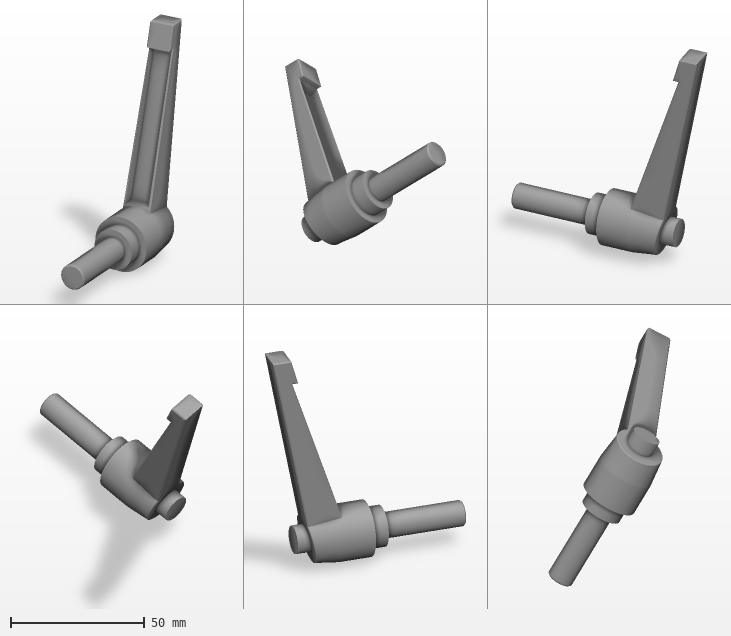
import cadquery as cq


HUB_RADIUS = 10.98
HUB_FRONT = -12.8
CONE_RADIUS = 9.5
CONE_LENGTH = 13.4
COLLAR_RADIUS = 8.0
COLLAR_FRONT = -18.9
STUD_RADIUS = 5.0
STUD_TIP = -50.8
STUD_CHAMFER = 0.5
BUTTON_RADIUS = 5.5
BUTTON_END = 16.3

OVERALL_HEIGHT = 89.6
TOP_Z = OVERALL_HEIGHT - HUB_RADIUS
TIP_Y = 26.1
BACK_SLOPE = 0.19
TOP_FRONT_Y = 18.6
TOP_BEVEL_LENGTH = 1.1
TOP_BEVEL_DROP = 0.4
LIP_Y = 15.95
LIP_Z = 68.7
RIM_TOP_Y = 18.3
RIM_FOOT_Y = -1.1
RIM_FOOT_Z = 9.6
ROOT_Z = 4.5
HALF_WIDTH_TOP = 4.9
HALF_WIDTH_FOOT = 5.9
HUB_END_FILLET = 0.45
ARM_EDGE_CHAMFER = 0.45

POCKET_HALF_WIDTH_TOP = 4.615
POCKET_HALF_WIDTH_FOOT = 5.0
POCKET_FOOT_Y = 4.7
POCKET_FOOT_Z = 11.0
POCKET_TOP_Y = 21.7
POCKET_TOP_Z = 66.95
POCKET_OVERSHOOT = 9.0

TRIM_SIZE = 179.2


def back_y(z):
    """Y of the leaning back plane shared by the arm and the hub."""
    return TIP_Y - BACK_SLOPE * (TOP_Z - z)


def cylinder(radius, y_start, y_end):
    return cq.Workplane("XZ", origin=(0, y_start, 0)).circle(radius).extrude(y_start - y_end)


def side_prism(points):
    """Extrude a (Y, Z) outline symmetrically across X."""
    return cq.Workplane("YZ").polyline(points).close().extrude(TRIM_SIZE / 2, both=True)


def tapered_slab(half_foot, z_foot, half_top, z_top):
    """Slab running through Y whose width changes evenly from foot to top."""
    outline = [(-half_foot, z_foot), (half_foot, z_foot), (half_top, z_top), (-half_top, z_top)]
    return cq.Workplane("XZ").polyline(outline).close().extrude(TRIM_SIZE / 2, both=True)


def make_hub():
    outline = [
        (0, HUB_FRONT),
        (HUB_RADIUS, HUB_FRONT),
        (HUB_RADIUS, 0),
        (CONE_RADIUS, CONE_LENGTH),
        (0, CONE_LENGTH),
    ]
    hub = cq.Workplane("XY").polyline(outline).close().revolve(360, (0, 0, 0), (0, 1, 0))
    keep = side_prism([
        (-TRIM_SIZE, -TRIM_SIZE),
        (back_y(-TRIM_SIZE), -TRIM_SIZE),
        (back_y(TRIM_SIZE), TRIM_SIZE),
        (-TRIM_SIZE, TRIM_SIZE),
    ])
    return hub.intersect(keep).faces(">Y").edges().fillet(HUB_END_FILLET)


def make_arm():
    arm = side_prism([
        (back_y(ROOT_Z), ROOT_Z),
        (TIP_Y, TOP_Z),
        (TOP_FRONT_Y + TOP_BEVEL_LENGTH, TOP_Z),
        (TOP_FRONT_Y, TOP_Z - TOP_BEVEL_DROP),
        (LIP_Y, LIP_Z),
        (RIM_TOP_Y, LIP_Z),
        (RIM_FOOT_Y, RIM_FOOT_Z),
        (RIM_FOOT_Y, ROOT_Z),
    ])
    arm = arm.intersect(tapered_slab(HALF_WIDTH_FOOT, ROOT_Z, HALF_WIDTH_TOP, TOP_Z))
    return arm.faces("<X or >X").edges().chamfer(ARM_EDGE_CHAMFER)


def make_pocket():
    front_y = RIM_FOOT_Y - POCKET_OVERSHOOT
    pocket = side_prism([
        (POCKET_FOOT_Y, POCKET_FOOT_Z),
        (POCKET_TOP_Y, POCKET_TOP_Z),
        (RIM_TOP_Y, LIP_Z),
        (front_y, LIP_Z),
        (front_y, POCKET_FOOT_Z),
    ])
    return pocket.intersect(tapered_slab(
        POCKET_HALF_WIDTH_FOOT, POCKET_FOOT_Z, POCKET_HALF_WIDTH_TOP, LIP_Z))


collar = cylinder(COLLAR_RADIUS, HUB_FRONT, COLLAR_FRONT)
stud = cylinder(STUD_RADIUS, COLLAR_FRONT, STUD_TIP).faces("<Y").chamfer(STUD_CHAMFER)
button = cylinder(BUTTON_RADIUS, BUTTON_END, 0)
arm = make_arm().cut(make_pocket())

result = make_hub().union(arm).union(collar).union(stud).union(button)